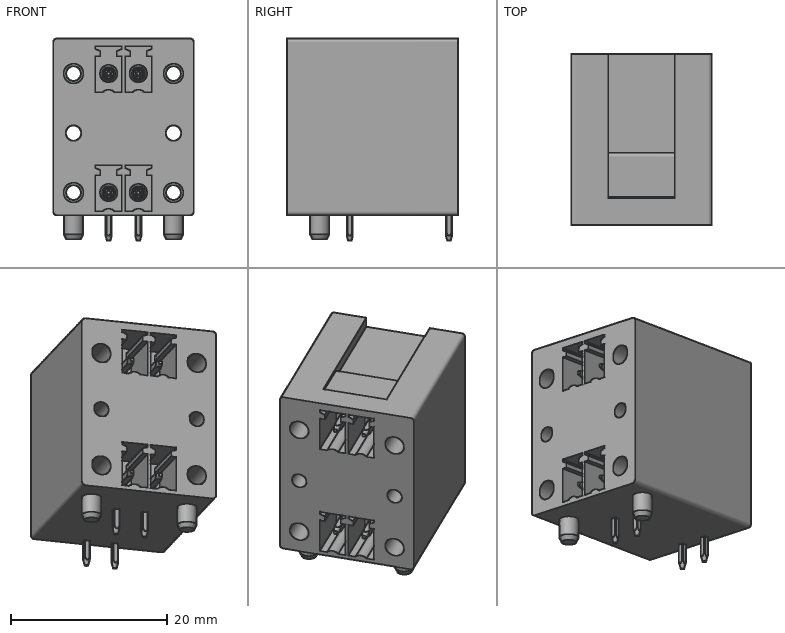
import cadquery as cq


WIDTH = 18.0
DEPTH = 21.9
TOTAL_HEIGHT = 25.9
LEG_REACH = 3.25
HEIGHT = TOTAL_HEIGHT - LEG_REACH
EDGE_RADIUS = 0.5

PITCH = 3.8
ROW_SPACING = 15.23
LOWER_ROW_Z = 2.93
ROW_LEGS = [(LOWER_ROW_Z, 8.05), (LOWER_ROW_Z + ROW_SPACING, 20.75)]
COLUMN_XS = [-PITCH / 2, PITCH / 2]

POCKET_DEPTH = 7.0
POCKET_HALF_WIDTH = 1.7
POCKET_TOP = 3.47
POCKET_BOTTOM = -2.38
RAIL_WIDTH = 0.65
RAIL_BOTTOM = 2.2
RAIL_SLOPE_BOTTOM = 2.87
RAIL_SLOPE_TOP = 3.15
RIDGE_HALF_WIDTH = 0.75
RIDGE_HEIGHT = 0.3

COLLAR_BASE_RADIUS = 1.11
COLLAR_STEP_RADIUS = 0.83
COLLAR_TOP_RADIUS = 0.65
COLLAR_STEP_HEIGHT = 0.75
COLLAR_HEIGHT = 0.83

CHANNEL_WIDTH = 8.5
CHANNEL_DEEP = 1.35
CHANNEL_SHALLOW = 0.4
CHANNEL_FRONT_Y = 3.45
SHALLOW_START_Y = 3.65
DEEP_START_Y = 9.25
STEP_RADIUS = 0.52

HOLE_X = 6.4
SCREW_HOLE_DIAMETER = 1.86
COUNTERBORE_DIAMETER = 2.5
COUNTERBORE_DEPTH = 10.35
MIDDLE_HOLE_DIAMETER = 1.95

CONTACT_WIDTH = 0.8
CONTACT_CHAMFER = 0.13
CONTACT_TIP_Y = 1.2
TIP_LENGTH = 0.62
TIP_RADIUS = 0.23

PEG_DIAMETER = 2.49
PEG_LENGTH = 3.05
PEG_Y = 4.2
PEG_TIP_LENGTH = 0.65
PEG_TIP_INSET = 0.3


def square_bar(length):
    """Square bar along +Z from the origin."""
    return cq.Workplane("XY").rect(CONTACT_WIDTH, CONTACT_WIDTH).extrude(length)


def taper_tip(bar, length):
    """Cut a conical tip on the end of a bar that starts at the origin."""
    taper = (CONTACT_WIDTH / 2 - TIP_RADIUS) / TIP_LENGTH
    envelope_radius = CONTACT_WIDTH
    cone_length = (envelope_radius - TIP_RADIUS) / taper
    envelope = (
        cq.Workplane("XZ")
        .polyline([
            (0, 0),
            (TIP_RADIUS, 0),
            (envelope_radius, cone_length),
            (envelope_radius, cone_length + length),
            (0, cone_length + length),
        ])
        .close()
        .revolve(360, (0, 0, 0), (0, 1, 0))
    )
    return bar.intersect(envelope)


def make_contact(x, row_z, leg_y):
    """Right-angle contact: a blade along Y in the pocket and a leg down through the housing.

    The leg has chamfered edges, the blade sharp ones.
    """
    blade_length = leg_y + CONTACT_WIDTH / 2 - CONTACT_TIP_Y
    leg_length = row_z + CONTACT_WIDTH / 2 + LEG_REACH
    blade = (
        taper_tip(square_bar(blade_length), blade_length)
        .rotate((0, 0, 0), (1, 0, 0), -90)
        .translate((x, CONTACT_TIP_Y, row_z))
    )
    chamfered_bar = square_bar(leg_length).edges("|Z").chamfer(CONTACT_CHAMFER)
    leg = taper_tip(chamfered_bar, leg_length).translate((x, leg_y, -LEG_REACH))
    return blade.union(leg)


def make_peg(x):
    """Round locating peg under the housing, with a conical lead-in."""
    radius = PEG_DIAMETER / 2
    return (
        cq.Workplane("XZ")
        .polyline([
            (0, 0),
            (radius, 0),
            (radius, PEG_TIP_LENGTH - PEG_LENGTH),
            (radius - PEG_TIP_INSET, -PEG_LENGTH),
            (0, -PEG_LENGTH),
        ])
        .close()
        .revolve(360, (0, 0, 0), (0, 1, 0))
        .translate((x, PEG_Y, 0))
    )


def plug_pocket(x, row_z):
    """Pocket volume: keyed by a rail on each side and a rounded ridge on its lower wall."""
    outer = POCKET_HALF_WIDTH
    inner = POCKET_HALF_WIDTH - RAIL_WIDTH
    return (
        cq.Workplane("XZ")
        .moveTo(-outer, POCKET_BOTTOM)
        .lineTo(-RIDGE_HALF_WIDTH, POCKET_BOTTOM)
        .threePointArc((0, POCKET_BOTTOM + RIDGE_HEIGHT), (RIDGE_HALF_WIDTH, POCKET_BOTTOM))
        .lineTo(outer, POCKET_BOTTOM)
        .lineTo(outer, RAIL_BOTTOM)
        .lineTo(inner, RAIL_BOTTOM)
        .lineTo(inner, RAIL_SLOPE_BOTTOM)
        .lineTo(outer, RAIL_SLOPE_TOP)
        .lineTo(outer, POCKET_TOP)
        .lineTo(-outer, POCKET_TOP)
        .lineTo(-outer, RAIL_SLOPE_TOP)
        .lineTo(-inner, RAIL_SLOPE_BOTTOM)
        .lineTo(-inner, RAIL_BOTTOM)
        .lineTo(-outer, RAIL_BOTTOM)
        .close()
        .extrude(-POCKET_DEPTH)
        .translate((x, 0, row_z))
    )


def contact_collar(x, row_z):
    """Collar of two stacked cones, standing forward from the pocket floor."""
    return (
        cq.Workplane("XY")
        .polyline([
            (0, POCKET_DEPTH),
            (COLLAR_BASE_RADIUS, POCKET_DEPTH),
            (COLLAR_STEP_RADIUS, POCKET_DEPTH - COLLAR_STEP_HEIGHT),
            (COLLAR_TOP_RADIUS, POCKET_DEPTH - COLLAR_HEIGHT),
            (0, POCKET_DEPTH - COLLAR_HEIGHT),
        ])
        .close()
        .revolve(360, (0, 0, 0), (0, 1, 0))
        .translate((x, 0, row_z))
    )


def top_channel():
    """Stepped channel in the top, open at the back, with a rounded step and sloped front wall."""
    step_edge = cq.selectors.NearestToPointSelector((0, DEEP_START_Y, HEIGHT - CHANNEL_SHALLOW))
    return (
        cq.Workplane("YZ")
        .polyline([
            (CHANNEL_FRONT_Y, HEIGHT),
            (SHALLOW_START_Y, HEIGHT - CHANNEL_SHALLOW),
            (DEEP_START_Y, HEIGHT - CHANNEL_SHALLOW),
            (DEEP_START_Y, HEIGHT - CHANNEL_DEEP),
            (DEPTH, HEIGHT - CHANNEL_DEEP),
            (DEPTH, HEIGHT),
        ])
        .close()
        .extrude(CHANNEL_WIDTH / 2, both=True)
        .edges("|X")
        .edges(step_edge)
        .fillet(STEP_RADIUS)
    )


def hole(x, z, diameter, depth):
    """Cylinder running back from the mating face."""
    return cq.Workplane("XZ").center(x, z).circle(diameter / 2).extrude(-depth)


def make_housing(contacts):
    """Block with pockets, collars, channel and holes, and a passage for each contact."""
    body = (
        cq.Workplane("XY")
        .box(WIDTH, DEPTH, HEIGHT, centered=(True, False, False))
        .edges("|Y")
        .fillet(EDGE_RADIUS)
        .cut(top_channel())
    )
    for row_z, _ in ROW_LEGS:
        for x in COLUMN_XS:
            body = body.cut(plug_pocket(x, row_z)).union(contact_collar(x, row_z))
    for x in (-HOLE_X, HOLE_X):
        for row_z, _ in ROW_LEGS:
            body = body.cut(hole(x, row_z, SCREW_HOLE_DIAMETER, DEPTH))
            body = body.cut(hole(x, row_z, COUNTERBORE_DIAMETER, COUNTERBORE_DEPTH))
        body = body.cut(hole(x, LOWER_ROW_Z + ROW_SPACING / 2, MIDDLE_HOLE_DIAMETER, DEPTH))
    for contact in contacts:
        body = body.cut(contact)
    return body


contacts = [make_contact(x, row_z, leg_y) for row_z, leg_y in ROW_LEGS for x in COLUMN_XS]
pegs = [make_peg(x) for x in (-HOLE_X, HOLE_X)]
housing = make_housing(contacts)

result = cq.Compound.makeCompound([
    housing.val(),
    *[contact.val() for contact in contacts],
    *[peg.val() for peg in pegs],
])